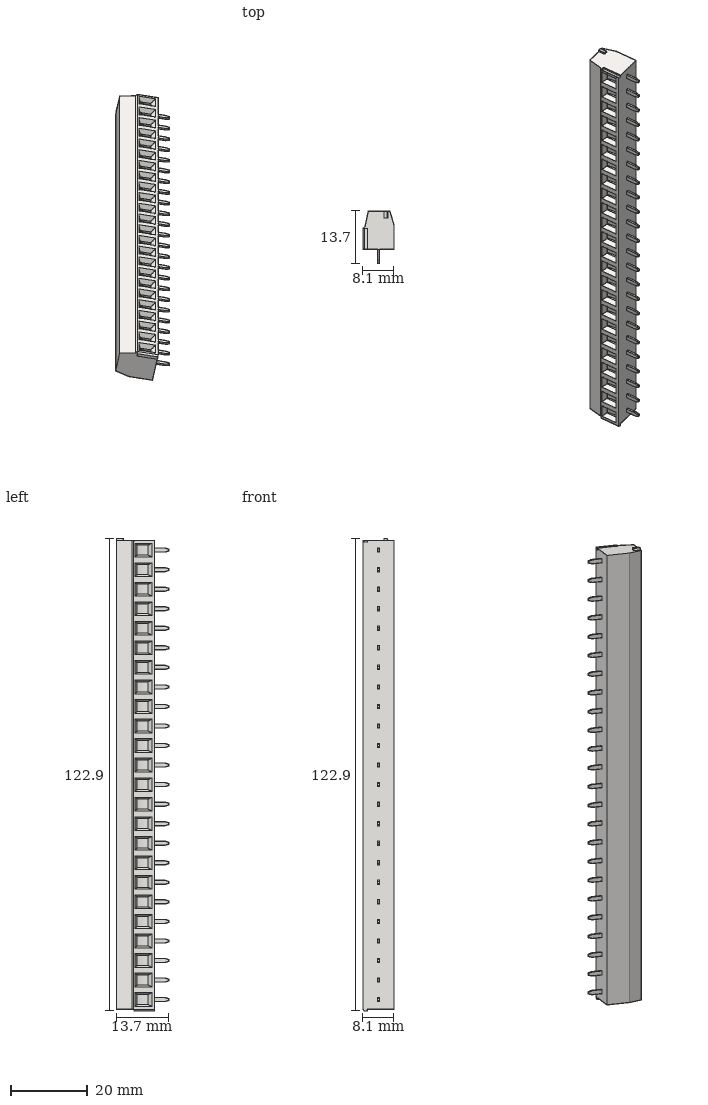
import cadquery as cq

pole_count = 24
total_length = 122.9
peg_height = 0.5
tab_height = 0.5
body_length = total_length - peg_height - tab_height
pitch = body_length / pole_count
body_width = 8.1
body_height = 10.0

crown_left = 1.4
crown_right = 7.0
left_lip = 0.5
lip_bottom = 5.5
lip_top = 5.9
right_shoulder = 6.3

funnel_y_low = 0.7
funnel_y_high = 5.2
funnel_length = 3.6
chamber_y_low = 1.7
chamber_y_high = 4.5
chamber_length = 2.6
funnel_depth = 1.4
chamber_depth = 1.8
floor_sag = 0.1
floor_rise = 0.2

pin_x = body_width / 2
pin_thickness = 0.5
pin_width = 1.1
pin_tip_width = 0.5
pin_length = 3.7
pin_tip_length = 1.0

tab_x_low = 0.4
tab_x_high = 1.1
tab_bevel = 0.4
peg_x_low = 5.4
peg_x_high = 6.5
peg_bevel = 0.2
tab_y_high = 5.4
peg_y_low = 8.1


def make_housing():
    outline = [
        (0, 0),
        (body_width, 0),
        (body_width, right_shoulder),
        (crown_right, body_height),
        (crown_left, body_height),
        (left_lip, lip_top),
        (0, lip_bottom),
    ]
    return cq.Workplane("XY").polyline(outline).close().extrude(body_length)


def make_wire_opening(z_center):
    """Tool that cuts one wire opening into the -X face."""
    funnel_y = (funnel_y_low + funnel_y_high) / 2
    chamber_y = (chamber_y_low + chamber_y_high) / 2
    funnel = (
        cq.Workplane("YZ")
        .center(funnel_y, z_center)
        .rect(funnel_y_high - funnel_y_low, funnel_length)
        .workplane(offset=funnel_depth)
        .center(chamber_y - funnel_y, 0)
        .rect(chamber_y_high - chamber_y_low, chamber_length)
        .loft(ruled=True)
    )
    floor_middle = (chamber_depth - floor_rise / 2 + floor_sag, chamber_y)
    floor_end = (chamber_depth - floor_rise, chamber_y_high)
    chamber = (
        cq.Workplane("XY", origin=(0, 0, z_center - chamber_length / 2))
        .moveTo(funnel_depth, chamber_y_low)
        .lineTo(chamber_depth, chamber_y_low)
        .threePointArc(floor_middle, floor_end)
        .lineTo(funnel_depth, chamber_y_high)
        .close()
        .extrude(chamber_length)
    )
    return funnel.union(chamber)


def make_pin(z_center):
    """Flat pin that points to -Y and narrows at its tip."""
    half_width = pin_width / 2
    half_tip = pin_tip_width / 2
    shank_end = pin_tip_length - pin_length
    outline = [
        (0, z_center - half_width),
        (shank_end, z_center - half_width),
        (-pin_length, z_center - half_tip),
        (-pin_length, z_center + half_tip),
        (shank_end, z_center + half_width),
        (0, z_center + half_width),
    ]
    return (
        cq.Workplane("YZ", origin=(pin_x - pin_thickness / 2, 0, 0))
        .polyline(outline)
        .close()
        .extrude(pin_thickness)
    )


def make_tab(z_base):
    """Strip along the -X edge, hanging below z_base, with a bevelled -X side."""
    outline = [
        (tab_x_low - tab_bevel, z_base),
        (tab_x_low, z_base - tab_height),
        (tab_x_high, z_base - tab_height),
        (tab_x_high, z_base),
    ]
    return cq.Workplane("XZ").polyline(outline).close().extrude(-tab_y_high)


def make_peg():
    """Short key on the +Z end with a bevelled +X side."""
    peg_top = body_length + peg_height
    outline = [
        (peg_x_low, body_length),
        (peg_x_high, body_length),
        (peg_x_high - peg_bevel, peg_top),
        (peg_x_low, peg_top),
    ]
    return (
        cq.Workplane("XZ", origin=(0, peg_y_low, 0))
        .polyline(outline)
        .close()
        .extrude(peg_y_low - body_height)
    )


result = make_housing().cut(make_tab(body_length))
result = result.union(make_tab(0)).union(make_peg())
for pole in range(pole_count):
    pole_z = (pole + 0.5) * pitch
    result = result.cut(make_wire_opening(pole_z)).union(make_pin(pole_z))